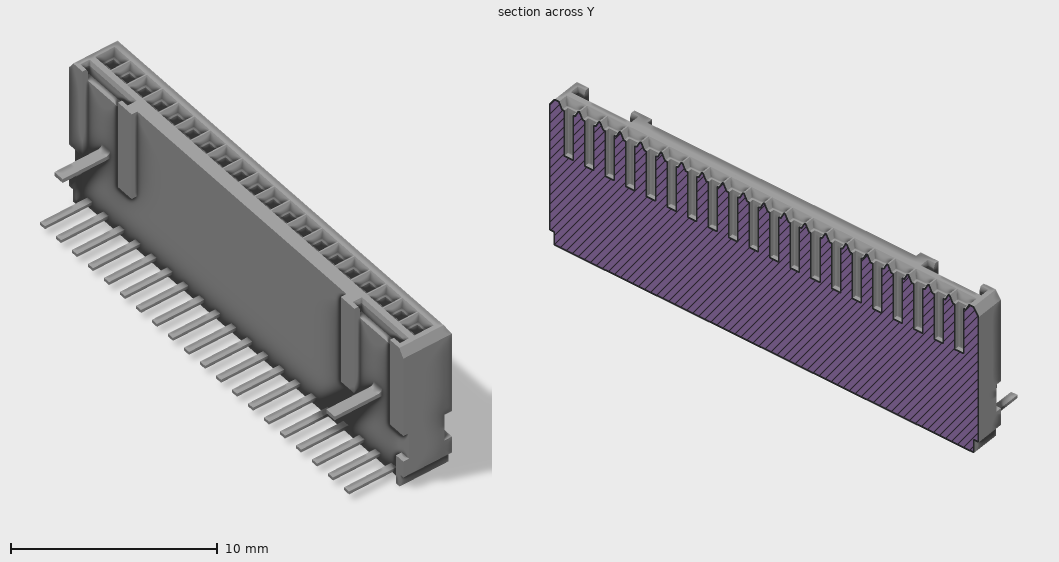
import cadquery as cq
length = 26.52
height = 9.02
body_depth = 2.63
rail_projection = 0.35
full_depth = body_depth + rail_projection
overall_depth = 5.52
half_length = length / 2

contact_count = 20
row_span = 24.13
pitch = row_span / (contact_count - 1)
contact_xs = [i * pitch - row_span / 2 for i in range(contact_count)]

bevel_height = 0.48
end_bevel = 0.32
rear_bevel = 0.27

rail_bottom = 3.5
foot_top = 1.83
foot_width = 0.58
rear_recess_depth = 0.45
base_step_height = 0.8
base_step_inset = 0.3

outer_rail_width = 1.05
inner_rail_start = 3.87
inner_rail_end = 4.95

groove_start = 0.58
groove_end = 4.32
groove_rear = 2.17
groove_depth = 0.8
groove_lead_in = 0.1
groove_lead_in_height = 0.25
groove_front = body_depth + groove_lead_in

socket_center_y = -1.25
socket_mouth = 1.2
funnel_end = 0.8
funnel_depth = 0.4
bore_width = 0.53
bore_depth = 3.18

lead_width = 0.4
lead_thickness = 0.19
lead_center_z = 0.48
tab_width = 0.65
tab_thickness = 0.25
tab_bottom = 4.4
tab_bend_radius = 0.25
tab_contacts = (1, contact_count - 2)
embed_length = 0.27

arrow_half_width = 0.42
arrow_height = 1.11
arrow_depth = rear_bevel


def box(x_range, y_range, z_range):
    """Box between the given limits along X, Y and Z."""
    (x0, x1), (y0, y1), (z0, z1) = x_range, y_range, z_range
    return cq.Workplane("XY").box(x1 - x0, y1 - y0, z1 - z0, centered=False).translate((x0, y0, z0))


def on_both_ends(left_shape):
    """The shape at the -X end together with its mirror image at the +X end."""
    return left_shape.union(left_shape.mirror("YZ"))


def end_box(start, end, y_range, z_range):
    """A box at each end of the housing, placed by its distance from that end."""
    return on_both_ends(box((start - half_length, end - half_length), y_range, z_range))


def tapered_hole(center_x, center_y, mouth, floor, depth):
    """Rectangular funnel going down from the top face, from mouth size to floor size."""
    return (
        cq.Workplane("XY", origin=(center_x, center_y, height))
        .rect(*mouth)
        .workplane(offset=-depth)
        .rect(*floor)
        .loft(ruled=True)
    )


def make_housing():
    core = box((-half_length, half_length), (-body_depth, 0), (0, height))
    front = (-full_depth, -body_depth)
    outer_rails = end_box(0, outer_rail_width, front, (rail_bottom, height))
    inner_rails = end_box(inner_rail_start, inner_rail_end, front, (rail_bottom, height))
    feet = end_box(0, foot_width, front, (0, foot_top))
    housing = core.union(outer_rails).union(inner_rails).union(feet)
    rear_recesses = end_box(0, foot_width, (-rear_recess_depth, 0), (foot_top, rail_bottom))
    base_steps = end_box(0, base_step_inset, (-full_depth, 0), (0, base_step_height))
    return housing.cut(rear_recesses).cut(base_steps)


def make_top_bevels():
    bevel_bottom = height - bevel_height
    end_bevels = on_both_ends(
        cq.Workplane("XZ")
        .polyline([(-half_length, bevel_bottom), (-half_length, height), (end_bevel - half_length, height)])
        .close()
        .extrude(full_depth)
    )
    rear = (
        cq.Workplane("YZ")
        .polyline([(0, bevel_bottom), (0, height), (-rear_bevel, height)])
        .close()
        .extrude(half_length, both=True)
    )
    return end_bevels.union(rear)


def make_groove():
    width = groove_end - groove_start
    depth = groove_front - groove_rear
    center_x = (groove_start + groove_end) / 2 - half_length
    center_y = -(groove_front + groove_rear) / 2
    floor = (width - 2 * groove_lead_in, depth - 2 * groove_lead_in)
    lead_in = tapered_hole(center_x, center_y, (width, depth), floor, groove_lead_in_height)
    pocket = (
        cq.Workplane("XY", origin=(center_x, center_y, height - groove_depth))
        .rect(*floor)
        .extrude(groove_depth)
    )
    return lead_in.union(pocket)


def make_socket(x):
    mouth = (socket_mouth, socket_mouth)
    funnel = tapered_hole(x, socket_center_y, mouth, (funnel_end, funnel_end), funnel_depth)
    bore = (
        cq.Workplane("XY", origin=(x, socket_center_y, height - bore_depth))
        .rect(bore_width, bore_width)
        .extrude(bore_depth)
    )
    return funnel.union(bore)


def make_pin_one_arrow():
    x = contact_xs[0]
    return (
        cq.Workplane("XZ")
        .polyline([(x - arrow_half_width, height), (x, height - arrow_height), (x + arrow_half_width, height)])
        .close()
        .extrude(arrow_depth)
    )


def make_lead(x):
    return box(
        (x - lead_width / 2, x + lead_width / 2),
        (-overall_depth, embed_length - body_depth),
        (lead_center_z - lead_thickness / 2, lead_center_z + lead_thickness / 2),
    )


def make_tab(x):
    """Wide retention lead with a concave bend curving up into the housing face."""
    root = embed_length - body_depth
    tab_top = tab_bottom + tab_thickness
    bend_top = tab_top + tab_bend_radius
    return (
        cq.Workplane("YZ", origin=(x, 0, 0))
        .moveTo(root, tab_bottom)
        .lineTo(-overall_depth, tab_bottom)
        .lineTo(-overall_depth, tab_top)
        .lineTo(-body_depth - tab_bend_radius, tab_top)
        .radiusArc((-body_depth, bend_top), -tab_bend_radius)
        .lineTo(root, bend_top)
        .close()
        .extrude(tab_width / 2, both=True)
    )


housing = make_housing().cut(make_top_bevels())
housing = housing.cut(on_both_ends(make_groove())).cut(make_pin_one_arrow())
for contact_x in contact_xs:
    housing = housing.cut(make_socket(contact_x)).union(make_lead(contact_x))
for contact in tab_contacts:
    housing = housing.union(make_tab(contact_xs[contact]))

result = housing